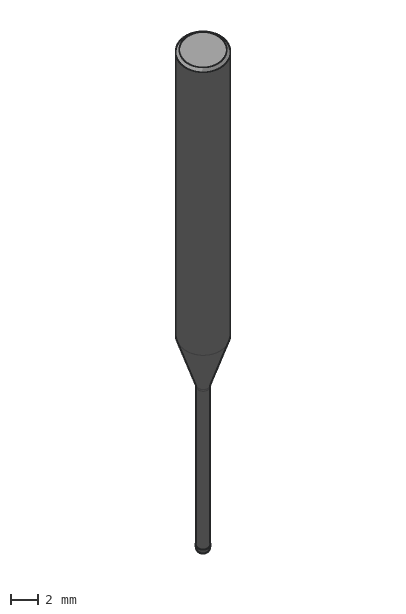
import cadquery as cq
import math

total_length = 55.0
shank_radius = 2.01
chamfer_width = 0.3
chamfer_height = 0.2
shank_bottom = 23.75
cone_bottom = 18.25
neck_radius = 0.52
neck_fillet = 0.8
ball_radius = 0.55
cutter_top = 0.75

half_turn = math.atan2(shank_radius - neck_radius, shank_bottom - cone_bottom) / 2
fillet_tangent = neck_fillet * math.tan(half_turn)


def make_shank():
    """Chamfered cylindrical shank, its cone and the slender neck."""
    arc_start_z = cone_bottom - fillet_tangent
    arc_middle = (
        neck_radius + neck_fillet * (1 - math.cos(half_turn)),
        arc_start_z + neck_fillet * math.sin(half_turn),
    )
    arc_end = (
        neck_radius + fillet_tangent * math.sin(2 * half_turn),
        cone_bottom + fillet_tangent * math.cos(2 * half_turn),
    )
    return (
        cq.Workplane("XZ")
        .moveTo(0, cutter_top)
        .lineTo(neck_radius, cutter_top)
        .lineTo(neck_radius, arc_start_z)
        .threePointArc(arc_middle, arc_end)
        .lineTo(shank_radius, shank_bottom)
        .lineTo(shank_radius, total_length - chamfer_height)
        .lineTo(shank_radius - chamfer_width, total_length)
        .lineTo(0, total_length)
        .close()
        .revolve(360, (0, 0, 0), (0, 1, 0))
    )


def make_cutter():
    """Short cylindrical cutting head with a hemispherical tip."""
    arc_offset = ball_radius * math.sqrt(0.5)
    return (
        cq.Workplane("XZ")
        .threePointArc((arc_offset, ball_radius - arc_offset), (ball_radius, ball_radius))
        .lineTo(ball_radius, cutter_top)
        .lineTo(0, cutter_top)
        .close()
        .revolve(360, (0, 0, 0), (0, 1, 0))
    )


shank = make_shank()
cutter = make_cutter()
result = cq.Compound.makeCompound([shank.val(), cutter.val()])